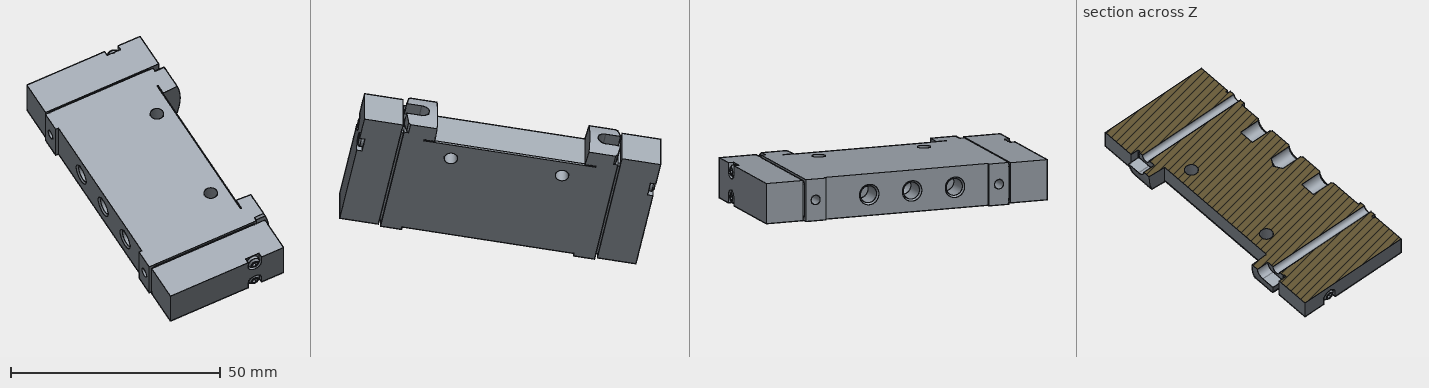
import cadquery as cq
import math


body_height = 10.25
body_half_height = body_height / 2
body_half_width = 13.5
back_edge_chamfer = 0.3

plate_inner_x = 20.9
plate_outer_x = 26.0
block_inner_x = 26.6
half_length = 36.0
plate_front_y = -14.25
overall_width = 32.5
crown_peak_y = plate_front_y + overall_width
crown_edge_y = 17.4
block_front_y = -13.9
block_back_y = 16.8
block_height = 9.85
block_half_height = block_height / 2

neck_front_y = -13.4
neck_back_y = 14.6
neck_height = 8.9
neck_chamfer = 0.5

hook_root_x = 18.25
hook_tip_x = 18.5
relief_floor_y = 14.9
relief_flank_x = 25.4
relief_chamfer = 0.5
screw_slot_width = 3.7
screw_slot_end_x = 20.5

port_pitch = 11.0
port_middle_x = 1.5
port_diameter = 4.13
port_mouth_diameter = 5.0
port_chamfer = (port_mouth_diameter - port_diameter) / 2
port_depth = 6.0
drill_point_angle = 118.0
mount_hole_diameter = 3.2
mount_hole_x = 13.5
mount_hole_y = 9.2
plate_hole_diameter = 2.3
plate_hole_x = 23.5

screw_y = 9.0
screw_z = 3.2
screw_pocket_width = 3.6
screw_pocket_depth = 1.3
screw_head_diameter = 3.0
screw_head_chamfer = 0.5
screw_socket_width = 1.3
screw_socket_depth = 0.7


def block(x_range, y_range, z_range):
    """Box between two limits on each axis."""
    corner = (x_range[0], y_range[0], z_range[0])
    size = [high - low for low, high in (x_range, y_range, z_range)]
    return cq.Workplane("XY").box(*size, centered=False).translate(corner)


def centred_block(x_range, y_range, height):
    """Box of a given height, centred on Z = 0."""
    return block(x_range, y_range, (-height / 2, height / 2))


def extrude_along_y(sketch_on_xz, y_start, y_end):
    """Extrude a profile from an XZ workplane placed at Y = 0 between two Y limits."""
    return sketch_on_xz.extrude(y_start - y_end).translate((0, y_start, 0))


def make_body():
    """Valve body with chamfered edges along the back."""
    x_range = (-plate_inner_x, plate_inner_x)
    body = centred_block(x_range, (-body_half_width, body_half_width), body_height)
    return body.faces(">Y").edges("|X").chamfer(back_edge_chamfer)


def make_plate():
    """Adapter plate with its hook, crowned across the back."""
    plan = (
        cq.Workplane("XY")
        .workplane(offset=-body_half_height)
        .moveTo(plate_outer_x, plate_front_y)
        .lineTo(plate_inner_x, plate_front_y)
        .lineTo(plate_inner_x, body_half_width)
        .lineTo(hook_root_x, body_half_width)
        .lineTo(hook_tip_x, crown_peak_y)
        .lineTo(plate_outer_x, crown_peak_y)
        .close()
        .extrude(body_height)
    )
    crown = (
        cq.Workplane("YZ")
        .moveTo(plate_front_y, -body_half_height)
        .lineTo(crown_edge_y, -body_half_height)
        .threePointArc((crown_peak_y, 0), (crown_edge_y, body_half_height))
        .lineTo(plate_front_y, body_half_height)
        .close()
        .extrude(half_length)
    )
    return plan.intersect(crown)


def make_hook_relief():
    """Space cut from the outer face of the hook: sloped flanks above and below."""
    slot_edge = screw_slot_width / 2
    chamfer_z = body_half_height - relief_chamfer
    flank = (
        cq.Workplane("XZ")
        .moveTo(plate_outer_x, slot_edge)
        .lineTo(relief_flank_x, chamfer_z)
        .lineTo(relief_flank_x - relief_chamfer, body_half_height)
        .lineTo(plate_outer_x, body_half_height)
        .close()
    )
    upper = extrude_along_y(flank, relief_floor_y, crown_peak_y)
    return upper.union(upper.mirror("XY"))


def make_screw_slot():
    """Round-ended slot behind the plate hole, open to the outer face."""
    radius = screw_slot_width / 2
    centre_x = screw_slot_end_x + radius
    y_range = (relief_floor_y, crown_peak_y)
    channel = centred_block((centre_x, plate_outer_x), y_range, screw_slot_width)
    round_end = extrude_along_y(cq.Workplane("XZ").center(centre_x, 0).circle(radius), *y_range)
    return channel.union(round_end)


def make_neck():
    """Thin neck that joins the plate to the end block."""
    neck = centred_block((plate_outer_x, block_inner_x), (neck_front_y, neck_back_y), neck_height)
    return neck.edges("|X").chamfer(neck_chamfer)


def make_screw_pocket():
    """Round-bottomed pocket in the end face, open to the top of the end block."""
    floor_x = half_length - screw_pocket_depth
    radius = screw_pocket_width / 2
    round_end = (
        cq.Workplane("YZ")
        .workplane(offset=floor_x)
        .center(screw_y, screw_z)
        .circle(radius)
        .extrude(screw_pocket_depth)
    )
    opening = block(
        (floor_x, half_length), (screw_y - radius, screw_y + radius), (screw_z, block_half_height)
    )
    return round_end.union(opening)


def make_screw_head():
    """Cap screw head with a hexagonal socket."""
    floor_x = half_length - screw_pocket_depth
    hexagon_diameter = screw_socket_width / math.cos(math.pi / 6)
    head = (
        cq.Workplane("YZ")
        .workplane(offset=floor_x)
        .center(screw_y, screw_z)
        .circle(screw_head_diameter / 2)
        .extrude(screw_pocket_depth)
        .faces(">X")
        .chamfer(screw_head_chamfer)
    )
    socket = (
        cq.Workplane("YZ")
        .workplane(offset=half_length)
        .center(screw_y, screw_z)
        .polygon(6, hexagon_diameter)
        .extrude(-screw_socket_depth)
    )
    return head.cut(socket)


def make_end_block():
    """End block with two cap screws in its end face."""
    end_block = centred_block((block_inner_x, half_length), (block_front_y, block_back_y), block_height)
    pocket = make_screw_pocket()
    head = make_screw_head()
    end_block = end_block.cut(pocket).cut(pocket.mirror("XY"))
    return end_block.union(head).union(head.mirror("XY"))


def make_end_assembly():
    """Everything on the +X end: plate with hook, neck and end block."""
    plate_hole = extrude_along_y(
        cq.Workplane("XZ").center(plate_hole_x, 0).circle(plate_hole_diameter / 2),
        plate_front_y,
        crown_peak_y,
    )
    plate = make_plate().cut(make_hook_relief()).cut(make_screw_slot()).cut(plate_hole)
    return plate.union(make_neck()).union(make_end_block())


def make_port(x, has_drill_point):
    """Chamfered port bored into the front of the body."""
    radius = port_diameter / 2
    mouth_radius = port_mouth_diameter / 2
    point_length = radius / math.tan(math.radians(drill_point_angle / 2)) if has_drill_point else 0
    profile = (
        cq.Workplane("XY")
        .moveTo(0, 0)
        .lineTo(mouth_radius, 0)
        .lineTo(radius, port_chamfer)
        .lineTo(radius, port_depth)
        .lineTo(0, port_depth + point_length)
        .close()
    )
    return profile.revolve(360, (0, 0, 0), (0, 1, 0)).translate((x, -body_half_width, 0))


def cut_ports(part):
    """Three ports in a row, the middle one ending in a drill point."""
    for index in (-1, 0, 1):
        part = part.cut(make_port(port_middle_x + index * port_pitch, index == 0))
    return part


def cut_mount_holes(part):
    """Two mounting holes through the thickness of the body."""
    holes = (
        cq.Workplane("XY")
        .workplane(offset=-body_half_height)
        .pushPoints([(-mount_hole_x, mount_hole_y), (mount_hole_x, mount_hole_y)])
        .circle(mount_hole_diameter / 2)
        .extrude(body_height)
    )
    return part.cut(holes)


end_assembly = make_end_assembly()
valve_body = cut_mount_holes(cut_ports(make_body()))
result = valve_body.union(end_assembly).union(end_assembly.mirror("YZ"))